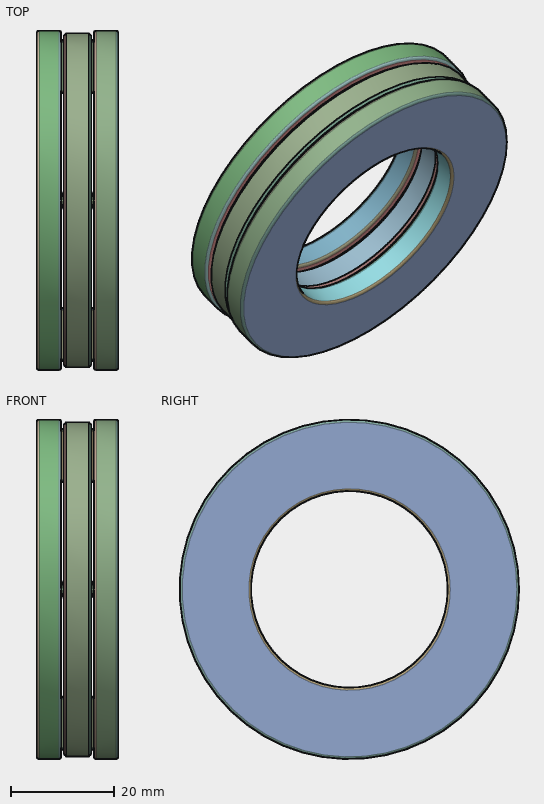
import cadquery as cq

outer_diameter = 65.9
overall_width = 15.9

edge_radius = 0.5

roller_diameter = 6.3
roller_length = 10.4
roller_inner_end = 20.75
roller_count = 4

washer_bore = 38.1
washer_thickness = (overall_width - roller_diameter) / 2

cage_outer_diameter = 64.9
cage_bore = 39.1
cage_width = 5.35
cage_chamfer = 0.5


def ring(start_x, width, outside, bore):
    """Make a plain flat ring around the X axis."""
    return cq.Workplane("YZ", origin=(start_x, 0, 0)).circle(outside / 2).circle(bore / 2).extrude(width)


def washer(start_x):
    """Make one bearing washer with all four rims rounded."""
    blank = ring(start_x, washer_thickness, outer_diameter, washer_bore)
    return blank.faces("<X or >X").edges().fillet(edge_radius)


def roller(angle):
    """Make one roller pointing radially, turned about X from the +Z direction."""
    blank = cq.Workplane("XY", origin=(0, 0, roller_inner_end)).circle(roller_diameter / 2).extrude(roller_length)
    return blank.edges("%CIRCLE").fillet(edge_radius).rotate((0, 0, 0), (1, 0, 0), angle)


def cage(held_rollers):
    """Make the cage ring with one closely fitting pocket for each roller."""
    body = ring(-cage_width / 2, cage_width, cage_outer_diameter, cage_bore)
    body = body.faces("<X or >X").edges().chamfer(cage_chamfer)
    for held_roller in held_rollers:
        body = body.cut(held_roller)
    return body


washers = [washer(start_x) for start_x in (-overall_width / 2, roller_diameter / 2)]
rollers = [roller(index * 360 / roller_count) for index in range(roller_count)]
roller_cage = cage(rollers)

bodies = [*washers, roller_cage, *rollers]
result = cq.Compound.makeCompound([body.val() for body in bodies])